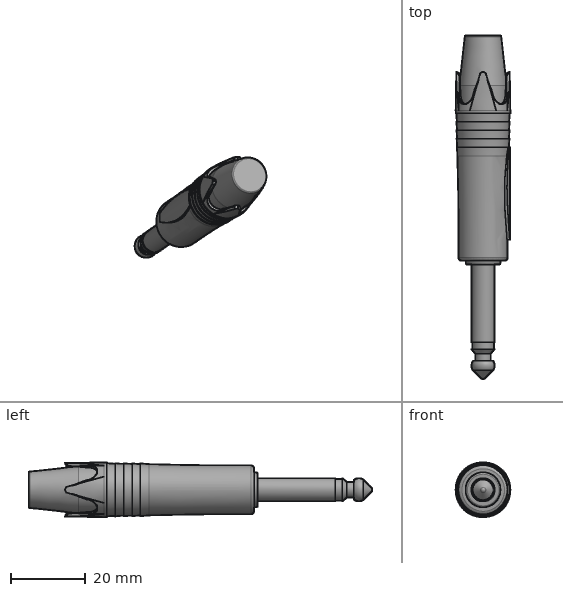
import cadquery as cq
import math

LENGTH = 92.3

PIN_R = 3.1
TIP_NOSE_R = 0.69
TIP_NOSE_Y = 0.4
TIP_CONE_Y = 2.4
TIP_CONE_R = 2.8
BALL_Y = 3.8
BALL_BACK_Y = 5.0
BALL_BACK_R = 2.7
NECK_R = 2.1
NECK_END_Y = 6.8
RIM_Y = 8.0
INSULATOR_R = 2.95
INSULATOR_END_Y = 10.0

FLANGE_Y = 30.7
FLANGE_R = 4.7
FLANGE_FILLET = 0.5

BARREL_Y = 31.75
BARREL_FRONT_R = 6.6
BARREL_FILLET = 0.9
BARREL_MIDDLE_R = 6.6
BARREL_BACK_R = 6.9
PIN_OVERLAP = 0.9
PIN_END_Y = BARREL_Y + PIN_OVERLAP

BAND_Y = 60.0
BAND_COUNT = 5
BAND_RISE = 0.2
BAND_DROP = 0.16

COLLAR_Y = 71.35
COLLAR_R = 7.4
COLLAR_RIM_Y = 72.2
PETAL_TIP_Y = 82.9
PETAL_TIP_R = 7.2
FLANK_SLOPE = 0.12
PETAL_COUNT = 4
PETAL_BASE_HALF = 3.5
PETAL_TIP_HALF = 0.55
VALLEY_Y = 73.8
VALLEY_R = 2.6
VALLEY_FLOOR = 3.2
VALLEY_ROUND_Y = 76.6
VALLEY_FLARE_Y = 81.8
VALLEY_FLARE_HALF = 4.0
VALLEY_MOUTH_HALF = 5.5

BOOT_R = 6.4
BOOT_TAPER_Y = 78.9
BOOT_END_R = 4.9
BOOT_ROUND = 0.4

PAD_R = 7.3
PAD_FRONT_Y = 37.4
PAD_BACK_Y = 62.3
PAD_WIDE_Y = 50.3
PAD_HALF = 3.4
PAD_FRONT_HALF = 1.4
PAD_BACK_HALF = 2.2


def turned(outline):
    return outline.close().revolve(360, (0, 0, 0), (0, 1, 0))


def make_pin():
    nose_sphere_r = (TIP_NOSE_R**2 + TIP_NOSE_Y**2) / (2 * TIP_NOSE_Y)
    nose_middle_x = TIP_NOSE_R / 2
    nose_middle_y = nose_sphere_r - math.sqrt(nose_sphere_r**2 - nose_middle_x**2)
    outline = (
        cq.Workplane("XY")
        .moveTo(0, 0)
        .threePointArc((nose_middle_x, nose_middle_y), (TIP_NOSE_R, TIP_NOSE_Y))
        .lineTo(TIP_CONE_R, TIP_CONE_Y)
        .threePointArc((PIN_R, BALL_Y), (BALL_BACK_R, BALL_BACK_Y))
        .lineTo(NECK_R, BALL_BACK_Y)
        .lineTo(NECK_R, NECK_END_Y)
        .lineTo(PIN_R, RIM_Y)
        .lineTo(INSULATOR_R, RIM_Y)
        .lineTo(INSULATOR_R, INSULATOR_END_Y)
        .lineTo(PIN_R, INSULATOR_END_Y)
        .lineTo(PIN_R, PIN_END_Y)
        .lineTo(0, PIN_END_Y)
    )
    return turned(outline)


def make_flange():
    disc = cq.Workplane("XZ", origin=(0, FLANGE_Y, 0)).circle(FLANGE_R)
    flange = disc.extrude(FLANGE_Y - PIN_END_Y)
    return flange.faces("<Y").edges().fillet(FLANGE_FILLET)


def make_barrel():
    middle_y = (BARREL_Y + BAND_Y) / 2
    outline = (
        cq.Workplane("XY")
        .moveTo(0, BARREL_Y)
        .lineTo(BARREL_FRONT_R, BARREL_Y)
        .threePointArc((BARREL_MIDDLE_R, middle_y), (BARREL_BACK_R, BAND_Y))
        .lineTo(0, BAND_Y)
    )
    return turned(outline).faces("<Y").edges().fillet(BARREL_FILLET)


def make_bands():
    pitch = (COLLAR_Y - BAND_Y) / BAND_COUNT
    outline = cq.Workplane("XY").moveTo(0, BAND_Y)
    for i in range(BAND_COUNT):
        front_r = BARREL_BACK_R + i * (BAND_RISE - BAND_DROP)
        outline = outline.lineTo(front_r, BAND_Y + i * pitch)
        outline = outline.lineTo(front_r + BAND_RISE, BAND_Y + (i + 1) * pitch)
    return turned(outline.lineTo(0, COLLAR_Y))


def make_boot():
    outline = (
        cq.Workplane("XY")
        .moveTo(0, COLLAR_Y)
        .lineTo(BOOT_R, COLLAR_Y)
        .lineTo(BOOT_R, BOOT_TAPER_Y)
        .lineTo(BOOT_END_R, LENGTH)
        .lineTo(0, LENGTH)
    )
    return turned(outline).faces(">Y").edges().fillet(BOOT_ROUND)


def collar_cone(end_r):
    outline = (
        cq.Workplane("XY")
        .moveTo(0, COLLAR_Y)
        .lineTo(COLLAR_R, COLLAR_Y)
        .lineTo(COLLAR_R, COLLAR_RIM_Y)
        .lineTo(end_r, PETAL_TIP_Y)
        .lineTo(0, PETAL_TIP_Y)
    )
    return turned(outline)


def make_collar():
    flank_end_r = COLLAR_R - FLANK_SLOPE * (PETAL_TIP_Y - COLLAR_RIM_Y)
    collar = collar_cone(flank_end_r)
    petal_cone = collar_cone(PETAL_TIP_R)
    face = (
        cq.Workplane("XY")
        .polyline([
            (-PETAL_BASE_HALF, COLLAR_RIM_Y),
            (PETAL_BASE_HALF, COLLAR_RIM_Y),
            (PETAL_TIP_HALF, PETAL_TIP_Y),
            (-PETAL_TIP_HALF, PETAL_TIP_Y),
        ])
        .close()
        .extrude(COLLAR_R)
    )
    valley = (
        cq.Workplane("XY", origin=(0, 0, VALLEY_FLOOR))
        .moveTo(-VALLEY_R, VALLEY_ROUND_Y)
        .threePointArc((0, VALLEY_Y), (VALLEY_R, VALLEY_ROUND_Y))
        .lineTo(VALLEY_FLARE_HALF, VALLEY_FLARE_Y)
        .lineTo(VALLEY_MOUTH_HALF, PETAL_TIP_Y)
        .lineTo(-VALLEY_MOUTH_HALF, PETAL_TIP_Y)
        .lineTo(-VALLEY_FLARE_HALF, VALLEY_FLARE_Y)
        .close()
        .extrude(COLLAR_R)
    )
    step = 360 / PETAL_COUNT
    for i in range(PETAL_COUNT):
        collar = collar.union(petal_cone.intersect(face.rotate((0, 0, 0), (0, 1, 0), i * step)))
    for i in range(PETAL_COUNT):
        collar = collar.cut(valley.rotate((0, 0, 0), (0, 1, 0), (i + 0.5) * step))
    return collar


def make_pad():
    leaf = (
        cq.Workplane("YZ")
        .moveTo(PAD_FRONT_Y, -PAD_FRONT_HALF)
        .threePointArc((PAD_WIDE_Y, -PAD_HALF), (PAD_BACK_Y, -PAD_BACK_HALF))
        .lineTo(PAD_BACK_Y, PAD_BACK_HALF)
        .threePointArc((PAD_WIDE_Y, PAD_HALF), (PAD_FRONT_Y, PAD_FRONT_HALF))
        .close()
        .extrude(PAD_R)
    )
    disc = cq.Workplane("XZ", origin=(0, PAD_FRONT_Y, 0)).circle(PAD_R)
    cylinder = disc.extrude(PAD_FRONT_Y - PAD_BACK_Y)
    return leaf.intersect(cylinder)


result = make_pin()
for piece in (make_flange(), make_barrel(), make_bands(), make_boot(), make_collar(), make_pad()):
    result = result.union(piece)